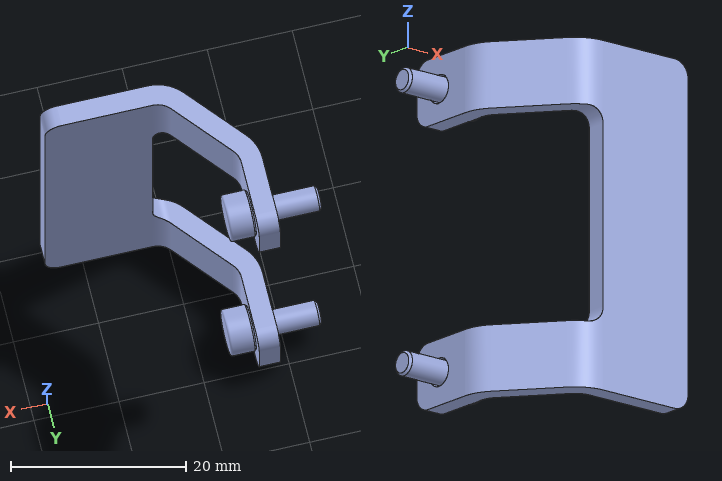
import cadquery as cq
import math

thickness = 2.5
height = 42.0
leg_length = 10.5
web_length = 13.0
plate_length = 15.0
web_angle = 40.0
inner_bend_radius = 2.5
outer_bend_radius = inner_bend_radius + thickness
corner_radius = 2.0
arm_height = 8.0

hole_diameter = 3.4
shank_diameter = 3.0
shank_length = 8.0
tip_chamfer = 0.3
neck_angle = 30.0
head_diameter = 5.5
head_height = 3.0
head_edge_radius = 0.3
seat_chamfer = 0.2

web_run = web_length * math.sin(math.radians(web_angle))
web_drop = web_length * math.cos(math.radians(web_angle))
width = web_run + plate_length
depth = web_drop + leg_length
plate_bend_angle = 90.0 - web_angle
bend_end_x = web_run + outer_bend_radius * math.tan(math.radians(plate_bend_angle / 2))
inner_web_y = web_drop + thickness * math.tan(math.radians(web_angle / 2))
inner_web_x = web_run + thickness * math.tan(math.radians(plate_bend_angle / 2))
screw_y = depth - arm_height / 2
neck_length = (hole_diameter - shank_diameter) / 2 / math.tan(math.radians(neck_angle))
screw_heights = [arm_height / 2, height - arm_height / 2]


def make_bent_strip():
    """Full-height strip of constant thickness with both bends rounded."""
    strip = (
        cq.Workplane("XY")
        .polyline([
            (0, depth),
            (0, web_drop),
            (web_run, 0),
            (width, 0),
            (width, thickness),
            (inner_web_x, thickness),
            (thickness, inner_web_y),
            (thickness, depth),
        ])
        .close()
        .extrude(height)
    )
    outer_bends = [(0, web_drop), (web_run, 0)]
    inner_bends = [(thickness, inner_web_y), (inner_web_x, thickness)]
    for radius, bends in ((outer_bend_radius, outer_bends), (inner_bend_radius, inner_bends)):
        for x, y in bends:
            bend_edge = cq.selectors.NearestToPointSelector((x, y, height / 2))
            strip = strip.edges("|Z").edges(bend_edge).fillet(radius)
    return strip


def make_window():
    """Opening between the arms, cut along Y, rounded where it meets the plate."""
    return (
        cq.Workplane("XY")
        .box(bend_end_x, depth, height - 2 * arm_height, centered=False)
        .translate((0, 0, arm_height))
        .edges(">X and |Y")
        .fillet(corner_radius)
    )


def make_screw_hole(z):
    return (
        cq.Workplane("YZ")
        .center(screw_y, z)
        .circle(hole_diameter / 2)
        .extrude(thickness)
    )


def make_bracket():
    bracket = make_bent_strip().cut(make_window())
    for z in screw_heights:
        bracket = bracket.cut(make_screw_hole(z))
    bracket = bracket.faces(">X").edges("|Y").fillet(corner_radius)
    return bracket.faces(">Y").edges("|X").fillet(corner_radius)


def make_screw(z):
    """Cap screw along X, its head seated on the inner face of the leg."""
    shank_radius = shank_diameter / 2
    neck_radius = hole_diameter / 2
    head_radius = head_diameter / 2
    tip_x = thickness - shank_length
    head_end_x = thickness + head_height
    half_profile = (
        cq.Workplane("XY")
        .moveTo(tip_x, 0)
        .lineTo(tip_x, shank_radius - tip_chamfer)
        .lineTo(tip_x + tip_chamfer, shank_radius)
        .lineTo(thickness - neck_length, shank_radius)
        .lineTo(thickness, neck_radius)
        .lineTo(thickness, head_radius - seat_chamfer)
        .lineTo(thickness + seat_chamfer, head_radius)
        .lineTo(head_end_x, head_radius)
        .lineTo(head_end_x, 0)
        .close()
    )
    screw = half_profile.revolve(360, (0, 0, 0), (1, 0, 0))
    return screw.faces(">X").edges().fillet(head_edge_radius).translate((0, screw_y, z))


bracket = make_bracket()
screws = [make_screw(z) for z in screw_heights]

result = cq.Compound.makeCompound([bracket.val(), *[screw.val() for screw in screws]])